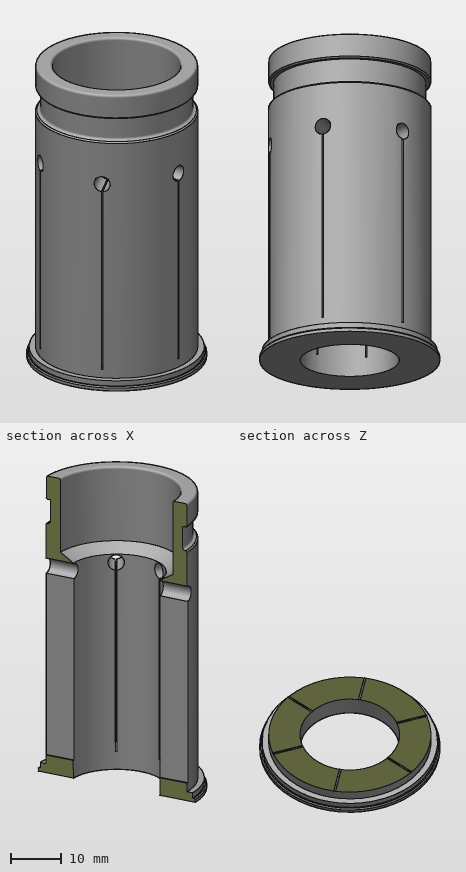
import cadquery as cq
import math

total_height = 62.5
flange_lip_height = 0.9
flange_height = 2.0
shoulder_height = 52.6
head_bottom_height = 57.5

flange_lip_diameter = 35.5
flange_diameter = 34.5
body_diameter = 32.0
neck_diameter = 30.0
head_diameter = 31.9

upper_bore_diameter = 25.3
upper_bore_depth = 15.5
narrow_bore_diameter = 19.5
funnel_half_angle = 59.0

flange_lip_chamfer = 0.25
shoulder_chamfer = 0.3
neck_fillet = 0.5
head_bottom_chamfer = 0.3
head_top_fillet = 0.5
upper_bore_fillet = 0.5

slit_count = 6
relief_hole_diameter = 3.2
relief_hole_height = 43.5
slit_width = 0.3
slit_bottom_height = 3.8

arc_middle_inset = 1 - math.sqrt(0.5)


def make_outer_body():
    """Revolve the stepped outside outline into a solid body."""
    lip_radius = flange_lip_diameter / 2
    flange_radius = flange_diameter / 2
    body_radius = body_diameter / 2
    neck_radius = neck_diameter / 2
    head_radius = head_diameter / 2
    neck_arc_inset = neck_fillet * arc_middle_inset
    top_arc_inset = head_top_fillet * arc_middle_inset

    outline = (
        cq.Workplane("XZ")
        .moveTo(0, 0)
        .lineTo(lip_radius, 0)
        .lineTo(lip_radius, flange_lip_height - flange_lip_chamfer)
        .lineTo(lip_radius - flange_lip_chamfer, flange_lip_height)
        .lineTo(flange_radius, flange_lip_height)
        .lineTo(flange_radius, flange_height)
        .lineTo(body_radius, flange_height)
        .lineTo(body_radius, shoulder_height - shoulder_chamfer)
        .lineTo(body_radius - shoulder_chamfer, shoulder_height)
        .lineTo(neck_radius + neck_fillet, shoulder_height)
        .threePointArc(
            (neck_radius + neck_arc_inset, shoulder_height + neck_arc_inset),
            (neck_radius, shoulder_height + neck_fillet),
        )
        .lineTo(neck_radius, head_bottom_height)
        .lineTo(head_radius - head_bottom_chamfer, head_bottom_height)
        .lineTo(head_radius, head_bottom_height + head_bottom_chamfer)
        .lineTo(head_radius, total_height - head_top_fillet)
        .threePointArc(
            (head_radius - top_arc_inset, total_height - top_arc_inset),
            (head_radius - head_top_fillet, total_height),
        )
        .lineTo(0, total_height)
        .close()
    )
    return outline.revolve(360, (0, 0, 0), (0, 1, 0))


def make_bore():
    """Revolve the stepped and tapered inside outline into a cutting solid."""
    upper_radius = upper_bore_diameter / 2
    narrow_radius = narrow_bore_diameter / 2
    rim_arc_inset = upper_bore_fillet * arc_middle_inset
    funnel_top = total_height - upper_bore_depth
    funnel_length = (upper_radius - narrow_radius) / math.tan(math.radians(funnel_half_angle))

    outline = (
        cq.Workplane("XZ")
        .moveTo(0, 0)
        .lineTo(narrow_radius, 0)
        .lineTo(narrow_radius, funnel_top - funnel_length)
        .lineTo(upper_radius, funnel_top)
        .lineTo(upper_radius, total_height - upper_bore_fillet)
        .threePointArc(
            (upper_radius + rim_arc_inset, total_height - rim_arc_inset),
            (upper_radius + upper_bore_fillet, total_height),
        )
        .lineTo(0, total_height)
        .close()
    )
    return outline.revolve(360, (0, 0, 0), (0, 1, 0))


def make_slit_cutter():
    """Cutter for one relief hole and its slit, reaching from the axis out through the -Y wall."""
    reach = flange_lip_diameter / 2
    slit_length = relief_hole_height - slit_bottom_height
    hole = (
        cq.Workplane("XZ")
        .center(0, relief_hole_height)
        .circle(relief_hole_diameter / 2)
        .extrude(reach)
    )
    slit = (
        cq.Workplane("XZ")
        .center(0, slit_bottom_height + slit_length / 2)
        .rect(slit_width, slit_length)
        .extrude(reach)
    )
    return hole.union(slit)


result = make_outer_body().cut(make_bore())

slit_cutter = make_slit_cutter()
for index in range(slit_count):
    angle = index * 360 / slit_count
    result = result.cut(slit_cutter.rotate((0, 0, 0), (0, 0, 1), angle))